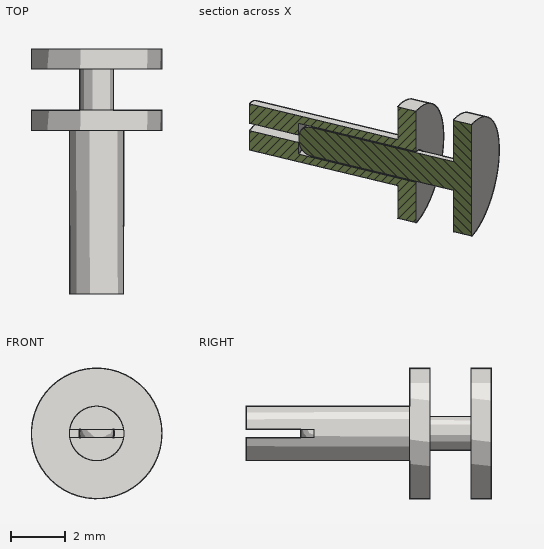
import cadquery as cq

flange_diameter = 4.8
flange_thickness = 0.75

shank_diameter = 2.0
shank_length = 6.0
slot_depth = 2.5
slot_width = 0.3
bore_diameter = 1.3

stem_diameter = 1.25
exposed_stem_length = 1.5
nose_radius = 0.5

shank_tip_y = -shank_length
slot_floor_y = shank_tip_y + slot_depth
sleeve_back_y = flange_thickness
head_front_y = sleeve_back_y + exposed_stem_length
stem_tip_y = slot_floor_y - nose_radius


def cylinder(diameter, start_y, end_y):
    """Solid cylinder on the Y axis between two places along it."""
    start_plane = cq.Workplane("XZ", origin=(0, start_y, 0))
    return start_plane.circle(diameter / 2).extrude(start_y - end_y)


def make_sleeve():
    """Flanged shank with a blind bore for the stem and a slot across its tip."""
    flange = cylinder(flange_diameter, 0, sleeve_back_y)
    shank = cylinder(shank_diameter, shank_tip_y, 0)
    bore = cylinder(bore_diameter, stem_tip_y, sleeve_back_y)
    slot = cq.Workplane("XY").box(shank_diameter, slot_depth, slot_width)
    slot = slot.translate((0, shank_tip_y + slot_depth / 2, 0))
    return flange.union(shank).cut(bore).cut(slot)


def make_pin():
    """Stem whose tip is rounded around a small flat, with a disc head."""
    stem = cylinder(stem_diameter, stem_tip_y, head_front_y)
    stem = stem.faces("<Y").edges().fillet(nose_radius)
    head = cylinder(flange_diameter, head_front_y, head_front_y + flange_thickness)
    return stem.union(head)


sleeve = make_sleeve()
pin = make_pin()
result = cq.Compound.makeCompound([sleeve.val(), pin.val()])